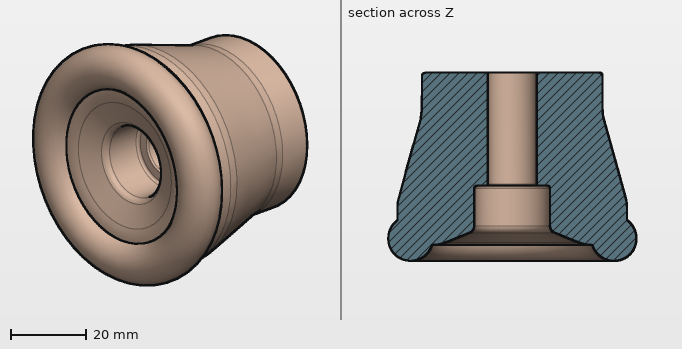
import cadquery as cq
import math


length = 50.0
rim_outer_radius = 33.0
rim_tube_radius = 6.0
rim_center_radius = rim_outer_radius - rim_tube_radius

front_radius = 30.5
rear_radius = 24.0
cone_start = 15.6
cone_end = 38.8
cone_blend = 10.0
rear_edge_fillet = 1.0

dish_radius = 21.25
dish_cone_radius = 17.4
dish_angle = math.radians(22)

bore_radius = 10.0
bore_floor = 20.0
bore_mouth_fillet = 2.0
bore_floor_fillet = 0.8
hole_radius = 6.45
hole_edge_fillet = 0.45


def rim_offset(radius):
    """Axial distance from the rim's middle plane to its surface at a radius."""
    return math.sqrt(rim_tube_radius**2 - (radius - rim_center_radius) ** 2)


def dish_arc_point(angle):
    """Point of the dish's convex arc where the surface slopes by the angle."""
    return (
        dish_radius - dish_arc_radius * math.sin(angle),
        dish_start + dish_arc_radius * (1 - math.cos(angle)),
    )


def fillet_circle(body, radius, y, size):
    """Fillet the circular edge of the given radius in the plane at y."""
    tolerance = 0.0005
    edges = [
        edge
        for edge in body.edges("%CIRCLE").vals()
        if abs(edge.radius() - radius) < tolerance and abs(edge.Center().y - y) < tolerance
    ]
    return body.newObject(edges).fillet(size)


dish_start = rim_tube_radius - rim_offset(dish_radius)
dish_arc_radius = (dish_radius - dish_cone_radius) / math.sin(dish_angle)
dish_cone_start = dish_arc_point(dish_angle)
bore_mouth = dish_cone_start[1] + (dish_cone_radius - bore_radius) * math.tan(dish_angle)
rim_back = rim_tube_radius + rim_offset(front_radius)

profile = (
    cq.Workplane("XY")
    .moveTo(dish_radius, dish_start)
    .threePointArc((rim_outer_radius, rim_tube_radius), (front_radius, rim_back))
    .lineTo(front_radius, cone_start)
    .lineTo(rear_radius, cone_end)
    .lineTo(rear_radius, length)
    .lineTo(hole_radius, length)
    .lineTo(hole_radius, bore_floor)
    .lineTo(bore_radius, bore_floor)
    .lineTo(bore_radius, bore_mouth)
    .lineTo(*dish_cone_start)
    .threePointArc(dish_arc_point(dish_angle / 2), (dish_radius, dish_start))
    .close()
)
body = profile.revolve(360, (0, 0, 0), (0, 1, 0))

edge_fillets = [
    (front_radius, cone_start, cone_blend),
    (rear_radius, cone_end, cone_blend),
    (rear_radius, length, rear_edge_fillet),
    (bore_radius, bore_mouth, bore_mouth_fillet),
    (bore_radius, bore_floor, bore_floor_fillet),
    (hole_radius, bore_floor, hole_edge_fillet),
]
for radius, y, size in edge_fillets:
    body = fillet_circle(body, radius, y, size)

result = body